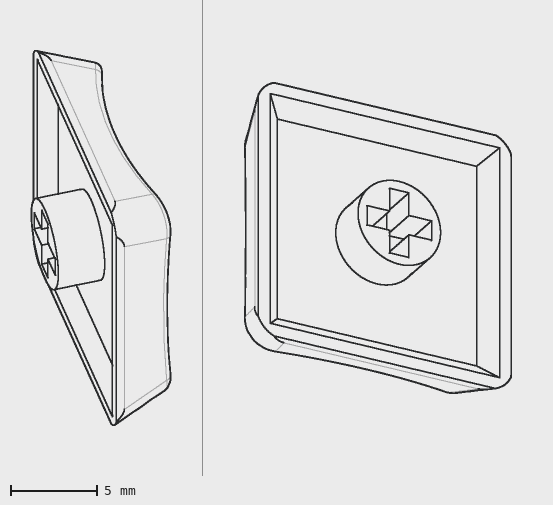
import cadquery as cq
import math

width = 16.5
rim_height = 0.5
side_taper = 16.3
corner_radius = 1.98
blank_height = 4.62

dish_floor = 2.08
dish_radius_x = 17.65
dish_radius_z = 66.0
top_edge_radius = 0.55

cavity_width = 14.97
cavity_depth = 0.99
cavity_floor_width = 13.0

stem_diameter = 5.4
stem_projection = 1.82
cross_length = 4.2
cross_slot = 1.25


def square_frustum(base_width, end_width, height):
    """Square frustum rising from Y = 0 toward +Y."""
    return (
        cq.Workplane("XZ")
        .rect(base_width, base_width)
        .workplane(offset=-height)
        .rect(end_width, end_width)
        .loft(ruled=True)
    )


def make_body():
    """Tapered, dished cap with its skirt trimmed to the square outline."""
    slope = math.tan(math.radians(side_taper))
    base_width = width + 2 * rim_height * slope
    top_width = base_width - 2 * blank_height * slope
    body = square_frustum(base_width, top_width, blank_height)
    body = body.edges("not(#Y or |X or |Z)").fillet(corner_radius)

    dish = cq.Solid.makeTorus(
        dish_radius_z - dish_radius_x,
        dish_radius_x,
        cq.Vector(0, dish_floor + dish_radius_z, 0),
        cq.Vector(1, 0, 0),
    )
    body = body.cut(cq.Workplane(obj=dish))
    body = body.faces("%TORUS").edges().fillet(top_edge_radius)

    outline = cq.Workplane("XZ").rect(width, width).extrude(-blank_height)
    return body.intersect(outline)


def make_stem():
    """Round post from the cavity floor to beyond the rim."""
    return (
        cq.Workplane("XZ", origin=(0, cavity_depth, 0))
        .circle(stem_diameter / 2)
        .extrude(cavity_depth + stem_projection)
    )


def make_cross():
    """Cross-shaped socket as deep as the stem is long."""
    socket = cq.Workplane("XZ", origin=(0, cavity_depth, 0))
    depth = cavity_depth + stem_projection
    upright = socket.rect(cross_slot, cross_length).extrude(depth)
    crossbar = socket.rect(cross_length, cross_slot).extrude(depth)
    return upright.union(crossbar)


cavity = square_frustum(cavity_width, cavity_floor_width, cavity_depth)
result = make_body().cut(cavity).union(make_stem()).cut(make_cross())